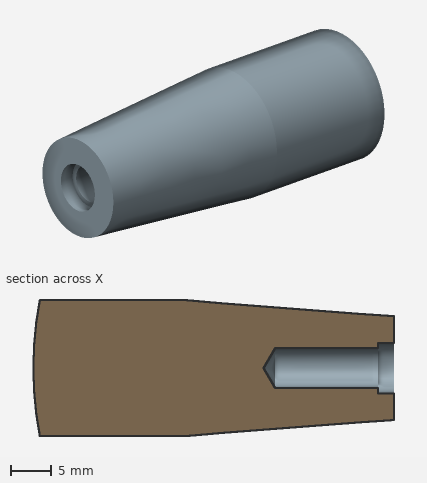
import cadquery as cq

length = 45.0
body_diameter = 17.0
mount_diameter = 13.0
taper_length = 25.9
dome_height = 0.8

counterbore_diameter = 6.2
counterbore_depth = 2.0
bore_diameter = 4.9
bore_depth = 14.85
drill_tip_height = bore_diameter / 2 / 3 ** 0.5

body_radius = body_diameter / 2
mount_radius = mount_diameter / 2
counterbore_radius = counterbore_diameter / 2
bore_radius = bore_diameter / 2
mount_y = -length / 2
dome_y = length / 2
dome_base_y = dome_y - dome_height

dome_radius = (body_radius**2 + dome_height**2) / (2 * dome_height)
dome_mid_x = body_radius / 2
dome_mid_y = dome_y - dome_radius + (dome_radius**2 - dome_mid_x**2) ** 0.5


def revolve_about_y(profile):
    return profile.close().revolve(360, (0, 0, 0), (0, 1, 0))


def make_grip():
    profile = (
        cq.Workplane("XY")
        .moveTo(0, mount_y)
        .lineTo(mount_radius, mount_y)
        .lineTo(body_radius, mount_y + taper_length)
        .lineTo(body_radius, dome_base_y)
        .threePointArc((dome_mid_x, dome_mid_y), (0, dome_y))
    )
    return revolve_about_y(profile)


def make_hole():
    profile = (
        cq.Workplane("XY")
        .moveTo(0, mount_y)
        .lineTo(counterbore_radius, mount_y)
        .lineTo(counterbore_radius, mount_y + counterbore_depth)
        .lineTo(bore_radius, mount_y + counterbore_depth)
        .lineTo(bore_radius, mount_y + bore_depth)
        .lineTo(0, mount_y + bore_depth + drill_tip_height)
    )
    return revolve_about_y(profile)


result = make_grip().cut(make_hole())